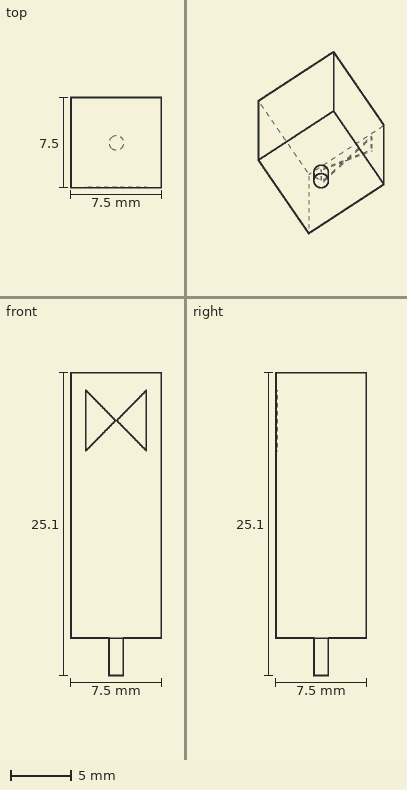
import cadquery as cq

total_height = 25.1
housing_width = 7.5
pin_length = 3.1
pin_diameter = 1.2
housing_height = total_height - pin_length

marking_size = 5.02
marking_top_margin = 1.45
tip_gap = 0.1
inlay_depth = 0.1

front_y = -housing_width / 2
marking_center_z = housing_height - marking_top_margin - marking_size / 2


def make_inlay(side):
    """Triangular inlay pointing to the centre line; side is -1 for -X, +1 for +X."""
    outer_x = side * marking_size / 2
    tip_x = side * tip_gap / 2
    return (
        cq.Workplane("XZ", origin=(0, front_y, marking_center_z))
        .moveTo(outer_x, marking_size / 2)
        .lineTo(outer_x, -marking_size / 2)
        .lineTo(tip_x, 0)
        .close()
        .extrude(-inlay_depth)
    )


def make_housing(inlays):
    """Square block with its base at Z = 0 and a matching recess for each inlay."""
    block = cq.Workplane("XY").rect(housing_width, housing_width).extrude(housing_height)
    for inlay in inlays:
        block = block.cut(inlay)
    return block


def make_pin():
    """Round pin reaching down from the centre of the housing base."""
    return cq.Workplane("XY").circle(pin_diameter / 2).extrude(-pin_length)


inlays = [make_inlay(side) for side in (-1, 1)]
housing = make_housing(inlays)
pin = make_pin()

result = cq.Compound.makeCompound([housing.val(), pin.val(), *[inlay.val() for inlay in inlays]])